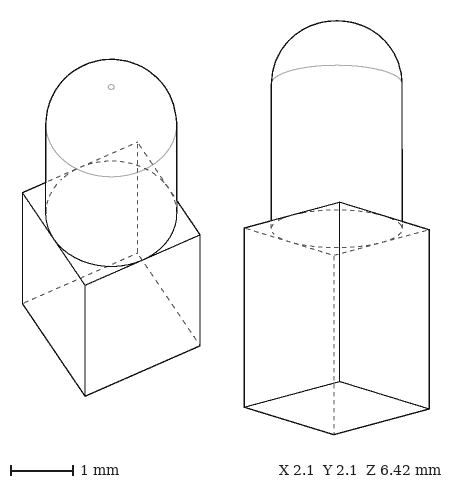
import cadquery as cq

width = 2.1
total_height = 6.42
base_height = 3.0
dome_radius = 1.0

post_height = total_height - base_height

base = cq.Workplane("XY").box(width, width, base_height, centered=(True, True, False))

post = (
    cq.Workplane("XY")
    .workplane(offset=base_height)
    .circle(width / 2)
    .extrude(post_height)
    .faces(">Z")
    .edges()
    .fillet(dome_radius)
)

result = base.union(post)